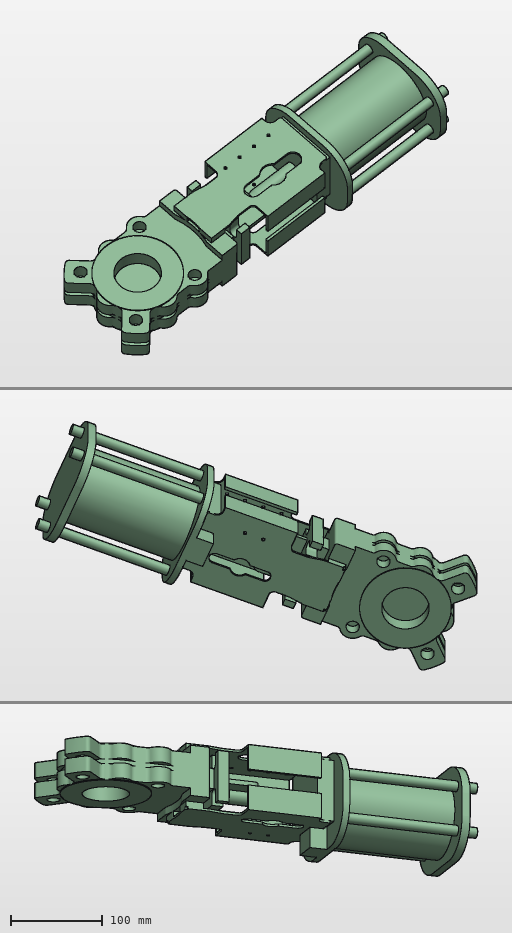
import cadquery as cq
import math


bore_radius = 26.0
flange_diameter = 100.0
flange_radius = flange_diameter / 2
body_half_width = flange_radius
body_half_height = 20.0
flange_rise = 1.2
body_top_y = 103.0
body_corner_radius = 3.0
head_half_height = 28.8
head_bottom_y = 79.5
head_relief_radius = 83.5

bolt_offset = 44.0
bolt_hole_diameter = 14.5
blind_hole_depth = 14.5
ear_radius = 14.5
ear_upper_blend = 4.0
blend_radius = 6.0
inner_corner_reach = 52.5
lobe_radius = 14.5
lobe_reach = 56.0
leg_half_width = 15.5
leg_end_radius = 80.5
leg_corner_radius = 5.0

gate_thickness = 5.5
gate_half_width = 28.5
gate_top_y = 169.5
gate_corner_radius = 7.5

gland_half_width = 43.0
gland_bottom_y = 114.5
gland_top_y = 127.5
gland_lug_width = 7.5
gland_slot_width = 10.5
gland_neck_half_width = 31.0
gland_neck_half_height = 11.5

frame_half_height = 37.5
frame_half_width = 50.5
frame_sheet = 2.65
frame_wall = 3.5
frame_side_depth = 28.5
frame_top_y = 248.5
frame_shoulder_y = 233.0
frame_side_bottom_y = 147.5
frame_foot_y = 82.5
tab_half_width = 37.5
tab_corner_radius = 2.5
shoulder_fillet = 7.5
neck_half_width = 27.0
neck_fillet = 5.8
foot_half_width = 29.5
flare_top_y = 125.5
flare_bottom_y = 109.0
foot_tunnel_half_width = 9.5
foot_notch_width = 3.5
foot_notch_length = 2.5

window_x = 13.0
upper_window_top_y = 229.5
upper_window_bottom_y = 150.5
upper_window_length = upper_window_top_y - upper_window_bottom_y
window_y = (upper_window_top_y + upper_window_bottom_y) / 2
upper_window_radius = 9.5
upper_window_eye_radius = 14.5
lower_window_length = 72.0
lower_window_radius = 6.0
lower_window_eye_radius = 11.0
pin_hole_x = -28.8
pin_hole_top_y = 222.5
pin_hole_bottom_y = 158.0
pin_hole_count = 4
pin_hole_pitch = (pin_hole_top_y - pin_hole_bottom_y) / (pin_hole_count - 1)
pin_hole_diameter = 3.5

cylinder_z = -7.5
cylinder_radius = 43.0
end_plate_width = 130.5
end_plate_height = 106.0
end_plate_corner_radius = 40.0
front_plate_bottom_y = 252.5
front_plate_top_y = 260.0
rear_plate_bottom_y = 391.5
rear_plate_top_y = 401.0
tie_rod_diameter = 12.0
tie_rod_x = 48.5
tie_rod_z = 25.5
tie_rod_end_y = 414.0
mount_bottom_y = 233.0
mount_rib_half_width = 15.5
piston_rod_radius = 9.5
rod_tip_radius = 8.5
rod_taper_top_y = 178.5
rod_taper_bottom_y = 173.5
rod_tip_y = 141.5


def box(x_min, x_max, y_min, y_max, z_min, z_max):
    size = (x_max - x_min, y_max - y_min, z_max - z_min)
    return cq.Workplane("XY").box(*size, centered=False).translate((x_min, y_min, z_min))


def centered_box(half_width, y_min, y_max, half_height):
    return box(-half_width, half_width, y_min, y_max, -half_height, half_height)


def disc(x, y, radius, half_height):
    outline = cq.Workplane("XY").workplane(offset=-half_height).center(x, y).circle(radius)
    return outline.extrude(2 * half_height)


def section_at(y, z=cylinder_z):
    """Workplane across the Y axis, with local x along -X, whose extrusions run toward +Y."""
    return cq.Workplane(cq.Plane(origin=(0, y, z), xDir=(-1, 0, 0), normal=(0, 1, 0)))


def make_leg():
    """Foot for a lower bolt hole, built along +X with its end face an arc around the bore."""
    end_x = math.sqrt(leg_end_radius**2 - leg_half_width**2)
    leg = cq.Workplane("XY").moveTo(0, -leg_half_width).lineTo(end_x, -leg_half_width)
    leg = leg.threePointArc((leg_end_radius, 0), (end_x, leg_half_width)).lineTo(0, leg_half_width)
    leg = leg.close().extrude(body_half_height, both=True)
    return leg.edges("|Z").edges(">X").fillet(leg_corner_radius)


def is_rim_corner(edge):
    center = edge.Center()
    return math.hypot(center.x, center.y) < inner_corner_reach


def make_body():
    body = centered_box(body_half_width, 0, body_top_y, body_half_height)
    for side in (-1, 1):
        body = body.union(disc(side * bolt_offset, bolt_offset, ear_radius, body_half_height))
    for y_min, y_max, radius in (
        (bolt_offset, bolt_offset + ear_radius, ear_upper_blend),
        (bolt_offset - ear_radius, bolt_offset, blend_radius),
    ):
        ear_corners = cq.selectors.BoxSelector(
            (-inner_corner_reach, y_min, -body_half_height),
            (inner_corner_reach, y_max, body_half_height),
        )
        body = body.edges("|Z").edges(ear_corners).fillet(radius)

    body = body.union(disc(0, 0, flange_radius, body_half_height))
    lobe_center = lobe_reach - lobe_radius
    for x, y in ((-lobe_center, 0), (lobe_center, 0), (0, -lobe_center)):
        body = body.union(disc(x, y, lobe_radius, body_half_height))
    for angle in (-45, -135):
        body = body.union(make_leg().rotate((0, 0, 0), (0, 0, 1), angle))
    body = body.edges("|Z").filter(is_rim_corner).fillet(blend_radius)
    body = body.union(disc(0, 0, flange_radius, body_half_height + flange_rise))

    half_gap = gate_thickness / 2
    gap_core = centered_box(body_half_width, 0, body_top_y, half_gap)
    gap_core = gap_core.union(disc(0, 0, flange_radius, half_gap))
    gap = disc(0, 0, body_top_y, half_gap).cut(gap_core)
    body = body.cut(gap)

    head = centered_box(body_half_width, head_bottom_y, body_top_y, head_half_height)
    head = head.cut(disc(0, 0, head_relief_radius, head_half_height))
    body = body.union(head)
    return body.edges("|Z and >Y").fillet(body_corner_radius)


def cut_body_holes(body):
    face_z = body_half_height + flange_rise
    gate_face_z = gate_thickness / 2
    for side in (-1, 1):
        bore = cq.Workplane("XY").workplane(offset=side * gate_face_z).circle(bore_radius)
        body = body.cut(bore.extrude(side * face_z))
        body = body.cut(disc(side * bolt_offset, -bolt_offset, bolt_hole_diameter / 2, face_z))
        for hole_x in (-bolt_offset, bolt_offset):
            hole = cq.Workplane("XY").workplane(offset=side * body_half_height)
            hole = hole.center(hole_x, bolt_offset).circle(bolt_hole_diameter / 2)
            body = body.cut(hole.extrude(-side * blind_hole_depth))
    return body


def make_gate():
    gate = centered_box(gate_half_width, -gate_half_width, gate_top_y, gate_thickness / 2)
    return gate.edges("|Z and >Y").fillet(gate_corner_radius)


def make_gland():
    """Gland bar with a round-bottomed bolt slot near each corner, on a neck entering the body."""
    gland = centered_box(gland_half_width, gland_bottom_y, gland_top_y, head_half_height)
    slot_radius = gland_slot_width / 2
    slot_x = gland_half_width - gland_lug_width - slot_radius
    slot_length = 2 * (head_half_height - gland_neck_half_height)
    for side_x in (-1, 1):
        for side_z in (-1, 1):
            slot_outline = section_at(gland_bottom_y, 0).center(-side_x * slot_x, side_z * head_half_height)
            slot = slot_outline.slot2D(slot_length, gland_slot_width, 90)
            gland = gland.cut(slot.extrude(gland_top_y - gland_bottom_y))
    neck = centered_box(gland_neck_half_width, body_top_y, gland_bottom_y, gland_neck_half_height)
    return gland.union(neck)


def window_cutter(length, radius, eye_radius):
    """Long slot with a round eye at its middle, through one frame plate."""
    slot = cq.Workplane("XY").center(window_x, window_y).slot2D(length, 2 * radius, 90)
    slot = slot.extrude(frame_half_height)
    eye = cq.Workplane("XY").center(window_x, window_y).circle(eye_radius)
    return slot.union(eye.extrude(frame_half_height))


def make_frame_plate(window, pin_hole_indices):
    """Upper channel plate, with its foot resting on the head of the body."""
    right_half = [
        (tab_half_width, frame_top_y),
        (tab_half_width, frame_shoulder_y),
        (frame_half_width, frame_shoulder_y),
        (frame_half_width, frame_side_bottom_y),
        (neck_half_width, frame_side_bottom_y),
        (neck_half_width, flare_top_y),
        (foot_half_width, flare_bottom_y),
        (foot_half_width, frame_foot_y),
    ]
    left_half = [(-x, y) for x, y in reversed(right_half)]
    inner_z = frame_half_height - frame_sheet
    plate = cq.Workplane("XY").workplane(offset=inner_z)
    plate = plate.polyline(right_half + left_half).close().extrude(frame_sheet)
    plate = plate.edges("|Z and >Y").fillet(tab_corner_radius)
    for corner_x, corner_y, radius in (
        (tab_half_width, frame_shoulder_y, shoulder_fillet),
        (neck_half_width, frame_side_bottom_y, neck_fillet),
    ):
        for side in (-1, 1):
            corner_point = (side * corner_x, corner_y, inner_z + frame_sheet / 2)
            corner = cq.selectors.NearestToPointSelector(corner_point)
            plate = plate.edges("|Z").edges(corner).fillet(radius)

    wall_z = frame_half_height - frame_side_depth
    for side in (-1, 1):
        inner_x = side * (frame_half_width - frame_wall)
        outer_x = side * frame_half_width
        wall = box(
            min(inner_x, outer_x), max(inner_x, outer_x),
            frame_side_bottom_y, frame_shoulder_y, wall_z, frame_half_height,
        )
        plate = plate.union(wall)

    foot = box(-foot_half_width, foot_half_width, frame_foot_y, body_top_y, head_half_height, inner_z)
    tunnel = box(
        -foot_tunnel_half_width, foot_tunnel_half_width,
        frame_foot_y, body_top_y, head_half_height, inner_z,
    )
    plate = plate.union(foot.cut(tunnel))
    plate = plate.cut(disc(0, 0, head_relief_radius, frame_half_height))

    for index in pin_hole_indices:
        hole_y = pin_hole_top_y - index * pin_hole_pitch
        plate = plate.cut(disc(pin_hole_x, hole_y, pin_hole_diameter / 2, frame_half_height))
    return plate.cut(window)


def make_frame():
    """Upper plate and its mirrored counterpart, which has a smaller window and fewer pin holes."""
    upper_window = window_cutter(upper_window_length, upper_window_radius, upper_window_eye_radius)
    lower_window = window_cutter(lower_window_length, lower_window_radius, lower_window_eye_radius)
    upper = make_frame_plate(upper_window, range(pin_hole_count))
    lower = make_frame_plate(lower_window, range(1, pin_hole_count - 1))
    notch_x = foot_half_width - foot_notch_width
    for x_min in (-foot_half_width, notch_x):
        notch = box(
            x_min, x_min + foot_notch_width, frame_foot_y, frame_foot_y + foot_notch_length,
            frame_half_height - frame_sheet, frame_half_height,
        )
        lower = lower.cut(notch)
    lower = lower.mirror("XY")
    return upper.union(lower)


def make_end_plate(y_min, y_max):
    plate = section_at(y_min).rect(end_plate_width, end_plate_height).extrude(y_max - y_min)
    return plate.edges("|Y").fillet(end_plate_corner_radius)


def make_cylinder():
    cylinder = make_end_plate(front_plate_bottom_y, front_plate_top_y)
    cylinder = cylinder.union(make_end_plate(rear_plate_bottom_y, rear_plate_top_y))
    barrel_length = rear_plate_bottom_y - front_plate_top_y
    cylinder = cylinder.union(section_at(front_plate_top_y).circle(cylinder_radius).extrude(barrel_length))
    tie_rods = section_at(front_plate_bottom_y).rect(2 * tie_rod_x, 2 * tie_rod_z, forConstruction=True)
    tie_rods = tie_rods.vertices().circle(tie_rod_diameter / 2).extrude(tie_rod_end_y - front_plate_bottom_y)
    return cylinder.union(tie_rods)


def make_mount():
    """Block between the frame plates, with a rib down to the edge of the front end plate."""
    block_half_height = frame_half_height - frame_sheet
    block = centered_box(tab_half_width, mount_bottom_y, front_plate_bottom_y, block_half_height)
    rib_bottom_z = cylinder_z - end_plate_height / 2
    rib = box(
        -mount_rib_half_width, mount_rib_half_width,
        mount_bottom_y, front_plate_bottom_y, rib_bottom_z, 0,
    )
    return block.union(rib)


def make_piston_rod():
    """Stepped rod revolved about the cylinder axis."""
    half_profile = [
        (0, front_plate_bottom_y),
        (piston_rod_radius, front_plate_bottom_y),
        (piston_rod_radius, rod_taper_top_y),
        (rod_tip_radius, rod_taper_bottom_y),
        (rod_tip_radius, rod_tip_y),
        (0, rod_tip_y),
    ]
    rod = cq.Workplane("XY").workplane(offset=cylinder_z).polyline(half_profile).close()
    return rod.revolve(360, (0, 0), (0, 1))


result = cut_body_holes(make_body())
for component in (
    make_gate(),
    make_gland(),
    make_frame(),
    make_mount(),
    make_piston_rod(),
    make_cylinder(),
):
    result = result.union(component)